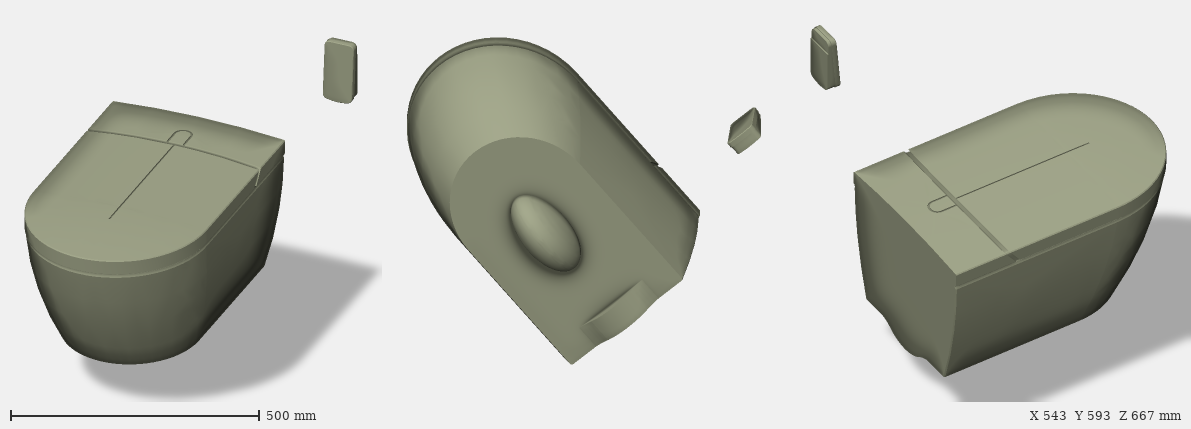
import cadquery as cq
import math


BOWL_BOTTOM = 94.0
RIM_BEVEL_START = 357.5
BOWL_TOP = 363.5
COVER_BOTTOM = 367.5
COVER_EDGE_TOP = 398.0
COVER_TOP = 407.0

COVER_HALF_WIDTH = 191.0
COVER_LENGTH = 593.0
NOSE_LENGTH = 204.0
NOSE_RATIO = NOSE_LENGTH / COVER_HALF_WIDTH
NOSE_CENTRE = COVER_LENGTH - NOSE_LENGTH
COVER_EDGE_CHAMFER = 2.0

BOWL_TOP_HALF_WIDTH = 189.5
BOWL_BOTTOM_HALF_WIDTH = 146.0
BOWL_TOP_REACH = 590.0
BOWL_BOTTOM_REACH = 481.5
NOSE_TOP_SLOPE = 0.17
SIDE_TOP_SLOPE = 0.02
RIM_BEVEL = 2.0
BOWL_BACK_CHAMFER = 3.0
BOWL_SECTIONS = 5

TRAP_CENTRE_Y = -257.5
TRAP_RADIUS = BOWL_BOTTOM
TRAP_HALF_WIDTH = 49.5
OUTLET_BOTTOM = 65.0
OUTLET_LENGTH = 53.0
OUTLET_FLARE_HALF_WIDTH = 82.0
OUTLET_HALF_WIDTH = 51.0
OUTLET_SHOULDER = 79.5
OUTLET_ROOT = 7.0
FLARE_SAG = 0.35

SPLIT_BOTTOM_Y = -153.5
SPLIT_TOP_Y = -123.0
GROOVE_WIDTH = 11.0
GROOVE_DEPTH = 3.5
BASE_LENGTH = 146.0

BUTTON_GROOVE_WIDTH = 5.0
BUTTON_GROOVE_RADIUS = 20.0
BUTTON_BACK_Y = -58.0
TOP_GROOVE_DEPTH = 3.0

CENTRE_GROOVE_WIDTH = 3.5
CENTRE_GROOVE_END_Y = -442.0
BUFFER_WIDTH = 13.5
BUFFERS = [(163.5, -302.0, 37.5), (137.0, -477.5, 32.0)]

REMOTE_CENTRE_X = 319.5
REMOTE_WIDTH = 65.0
REMOTE_BOTTOM = 535.0
REMOTE_TOP = 667.0
REMOTE_CORNER = 11.0
REMOTE_BOTTOM_BOW = 5.5
REMOTE_FRONT_TOP_Y = -21.5
REMOTE_FRONT_BOTTOM_Y = -33.0
REMOTE_PLATE_THICKNESS = 12.0
REMOTE_EDGE_CHAMFER = 1.5
HOLDER_INSET = 1.5
HOLDER_TOP = 637.5
HOLDER_STEP = 3.0


def box(x_min, x_max, y_min, y_max, z_min, z_max):
    """Axis-parallel block between the given limits."""
    return (cq.Workplane("XY").box(x_max - x_min, y_max - y_min, z_max - z_min, centered=False)
            .translate((x_min, y_min, z_min)))


def side_prism(points, half_width):
    """Prism symmetric about x = 0 with a polygon of (y, z) points as its side profile."""
    return cq.Workplane("YZ").polyline(points).close().extrude(half_width, both=True)


def curved_size(top, bottom, slope, z):
    """Size at height z on a parabola from top to bottom that starts with the given slope."""
    drop = RIM_BEVEL_START - z
    height = RIM_BEVEL_START - BOWL_BOTTOM
    curve = (top - bottom - slope * height) / height ** 2
    return top - slope * drop - curve * drop ** 2


def bowl_section(z, half_width, reach):
    """Horizontal section of the bowl: elliptical nose, straight sides, chamfered back."""
    nose = half_width * NOSE_RATIO
    centre_y = nose - reach
    return (cq.Workplane("XY", origin=(0, 0, z))
            .moveTo(-half_width, centre_y)
            .ellipseArc(half_width, nose, 180, 360)
            .lineTo(half_width, -BOWL_BACK_CHAMFER)
            .lineTo(half_width - BOWL_BACK_CHAMFER, 0)
            .lineTo(BOWL_BACK_CHAMFER - half_width, 0)
            .lineTo(-half_width, -BOWL_BACK_CHAMFER)
            .close().val())


def make_bowl_shell():
    sections = []
    for i in range(BOWL_SECTIONS):
        z = BOWL_BOTTOM + (RIM_BEVEL_START - BOWL_BOTTOM) * i / (BOWL_SECTIONS - 1)
        half_width = curved_size(BOWL_TOP_HALF_WIDTH, BOWL_BOTTOM_HALF_WIDTH, SIDE_TOP_SLOPE, z)
        reach = curved_size(BOWL_TOP_REACH, BOWL_BOTTOM_REACH, NOSE_TOP_SLOPE, z)
        sections.append(bowl_section(z, half_width, reach))
    rim = bowl_section(BOWL_TOP, BOWL_TOP_HALF_WIDTH - RIM_BEVEL, BOWL_TOP_REACH - RIM_BEVEL)
    shell = cq.Workplane(cq.Solid.makeLoft(sections))
    return shell.union(cq.Workplane(cq.Solid.makeLoft([sections[-1], rim], True)))


def make_trap():
    """Ball flattened along x; its upper half lies inside the bowl."""
    return (cq.Workplane("XY", origin=(0, TRAP_CENTRE_Y, BOWL_BOTTOM))
            .moveTo(-TRAP_HALF_WIDTH, 0)
            .ellipseArc(TRAP_HALF_WIDTH, TRAP_RADIUS, 180, 360)
            .close()
            .revolve(360, (0, 0, 0), (1, 0, 0)))


def make_outlet():
    """Rounded outlet at the wall, flared where it joins the underside of the bowl."""
    flare_x = (OUTLET_FLARE_HALF_WIDTH + OUTLET_HALF_WIDTH) / 2
    flare_z = BOWL_BOTTOM - (BOWL_BOTTOM - OUTLET_SHOULDER) * FLARE_SAG
    return (cq.Workplane("XZ")
            .moveTo(-OUTLET_FLARE_HALF_WIDTH, BOWL_BOTTOM)
            .threePointArc((-flare_x, flare_z), (-OUTLET_HALF_WIDTH, OUTLET_SHOULDER))
            .threePointArc((0, OUTLET_BOTTOM), (OUTLET_HALF_WIDTH, OUTLET_SHOULDER))
            .threePointArc((flare_x, flare_z), (OUTLET_FLARE_HALF_WIDTH, BOWL_BOTTOM))
            .lineTo(OUTLET_FLARE_HALF_WIDTH, BOWL_BOTTOM + OUTLET_ROOT)
            .lineTo(-OUTLET_FLARE_HALF_WIDTH, BOWL_BOTTOM + OUTLET_ROOT)
            .close()
            .extrude(OUTLET_LENGTH))


def make_bowl():
    return make_bowl_shell().union(make_trap()).union(make_outlet())


def cover_half_section(inset):
    """Right half of the cross-section: flat bottom, chamfered edge, crowned top."""
    half_width = COVER_HALF_WIDTH - inset
    edge_top = COVER_EDGE_TOP - inset
    top = COVER_TOP - inset
    crown_x = half_width - COVER_EDGE_CHAMFER
    crown_rise = top - edge_top
    crown_radius = (crown_x ** 2 + crown_rise ** 2) / (2 * crown_rise)
    middle_x = crown_x / 2
    middle_z = top - crown_radius + math.sqrt(crown_radius ** 2 - middle_x ** 2)

    return (cq.Workplane("XZ")
            .moveTo(0, COVER_BOTTOM)
            .lineTo(half_width, COVER_BOTTOM)
            .lineTo(half_width, edge_top - COVER_EDGE_CHAMFER)
            .lineTo(crown_x, edge_top)
            .threePointArc((middle_x, middle_z), (0, top))
            .close())


def cover_block(inset):
    """Crowned plate of rear cover and lid together, shrunk by the inset at sides and top."""
    right_half = cover_half_section(inset).extrude(NOSE_CENTRE)
    straight = right_half.union(right_half.mirror("YZ"))

    stretch = cq.Matrix([[1, 0, 0, 0], [0, NOSE_RATIO, 0, 0], [0, 0, 1, 0]])
    round_nose = cover_half_section(inset).revolve(180, (0, 0, 0), (0, -1, 0)).val()
    nose = cq.Workplane(round_nose.transformGeometry(stretch)).translate((0, -NOSE_CENTRE, 0))
    return straight.union(nose)


def behind_slant(offset):
    """Everything behind a plane parallel to the slanted back of the lid, offset towards the wall."""
    slope = (SPLIT_TOP_Y - SPLIT_BOTTOM_Y) / (COVER_TOP - COVER_BOTTOM)
    margin = 7.0
    bottom_y = SPLIT_BOTTOM_Y + offset - slope * margin
    top_y = SPLIT_TOP_Y + offset + slope * margin
    bottom = COVER_BOTTOM - margin
    top = COVER_TOP + margin
    return side_prism([(margin, bottom), (bottom_y, bottom), (top_y, top), (margin, top)],
                      COVER_HALF_WIDTH + margin)


def button_prism(radius):
    """Upright block with a round back end, reaching forward through the groove."""
    centre_y = BUTTON_BACK_Y - BUTTON_GROOVE_RADIUS
    return (cq.Workplane("XY", origin=(0, 0, COVER_TOP - TOP_GROOVE_DEPTH))
            .moveTo(-radius, SPLIT_BOTTOM_Y)
            .lineTo(-radius, centre_y)
            .threePointArc((0, centre_y + radius), (radius, centre_y))
            .lineTo(radius, SPLIT_BOTTOM_Y)
            .close()
            .extrude(COVER_TOP))


def make_rear_cover():
    cover = cover_block(0).intersect(behind_slant(0))
    groove = behind_slant(0).cut(behind_slant(GROOVE_WIDTH)).cut(cover_block(GROOVE_DEPTH))
    button_groove = button_prism(BUTTON_GROOVE_RADIUS).cut(
        button_prism(BUTTON_GROOVE_RADIUS - BUTTON_GROOVE_WIDTH))
    base_half_width = BOWL_TOP_HALF_WIDTH - RIM_BEVEL
    base = box(-base_half_width, base_half_width, -BASE_LENGTH, 0, BOWL_TOP, COVER_BOTTOM)
    return cover.cut(groove).cut(button_groove).union(base)


def make_lid():
    lid = cover_block(0).cut(behind_slant(0))
    half_groove = CENTRE_GROOVE_WIDTH / 2
    lid = lid.cut(box(-half_groove, half_groove, CENTRE_GROOVE_END_Y, 0,
                      COVER_TOP - TOP_GROOVE_DEPTH, COVER_TOP))
    for distance, back_y, length in BUFFERS:
        for x in (-distance, distance):
            lid = lid.union(box(x - BUFFER_WIDTH / 2, x + BUFFER_WIDTH / 2,
                                back_y - length, back_y, BOWL_TOP, COVER_BOTTOM))
    return lid


def remote_outline(inset):
    """Rounded upright block along y that bounds the remote control, bowed at the bottom and shrunk
    by the inset."""
    half_width = REMOTE_WIDTH / 2 - inset
    top = REMOTE_TOP - inset
    bottom = REMOTE_BOTTOM + inset
    return (cq.Workplane("XZ")
            .moveTo(-half_width, bottom + REMOTE_BOTTOM_BOW)
            .threePointArc((0, bottom), (half_width, bottom + REMOTE_BOTTOM_BOW))
            .lineTo(half_width, top)
            .lineTo(-half_width, top)
            .close()
            .extrude(-REMOTE_FRONT_BOTTOM_Y)
            .edges("|Y").fillet(REMOTE_CORNER))


def make_remote():
    """Slanted front plate on a wedge that stands on the wall."""
    plate_back_top = REMOTE_FRONT_TOP_Y + REMOTE_PLATE_THICKNESS
    plate_back_bottom = REMOTE_FRONT_BOTTOM_Y + REMOTE_PLATE_THICKNESS
    plate = side_prism([(REMOTE_FRONT_BOTTOM_Y, REMOTE_BOTTOM), (REMOTE_FRONT_TOP_Y, REMOTE_TOP),
                        (plate_back_top, REMOTE_TOP), (plate_back_bottom, REMOTE_BOTTOM)],
                       REMOTE_WIDTH)
    plate = plate.intersect(remote_outline(0)).faces("<Y").edges().chamfer(REMOTE_EDGE_CHAMFER)
    wedge = side_prism([(0, REMOTE_BOTTOM), (0, HOLDER_TOP), (-HOLDER_STEP, HOLDER_TOP),
                        (-HOLDER_STEP, REMOTE_TOP), (plate_back_top, REMOTE_TOP),
                        (plate_back_bottom, REMOTE_BOTTOM)], REMOTE_WIDTH)
    wedge = wedge.intersect(remote_outline(HOLDER_INSET))
    return plate.union(wedge).translate((REMOTE_CENTRE_X, 0, 0))


bowl = make_bowl()
rear_cover = make_rear_cover()
lid = make_lid()
remote = make_remote()

result = cq.Compound.makeCompound([bowl.val(), rear_cover.val(), lid.val(), remote.val()])